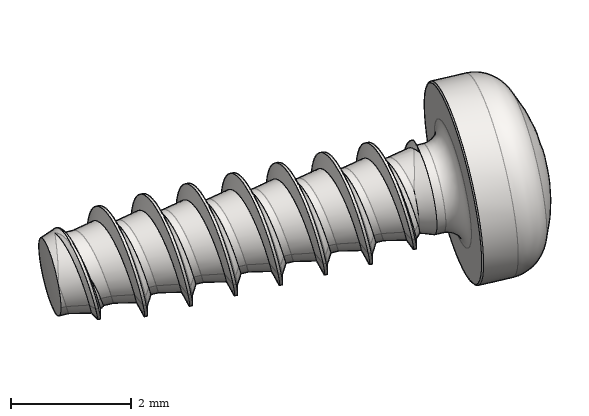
import cadquery as cq
import math

head_height = 1.58
head_diameter = 3.5
shank_length = 7.0
head_radius = head_diameter / 2

rim_top = 0.625
rim_chamfer = 0.025
dome_edge_height = 1.225
dome_edge_radius = 1.39

recess_width = 0.325
recess_depth = 0.11

neck_radius = 0.76
neck_fillet = 0.34
neck_end = -0.5
neck_cone_end = -0.78

core_radius = 0.67
tip_cone_height = 0.02
tip_edge = tip_cone_height - shank_length
tip_taper_length = 0.88

pitch = 0.78
crest_radius = 1.0
first_crest = -1.15
crest_half_width = 0.025
kink_radius = 0.84
sunken_kink_radius = 0.65
kink_offset = 0.064
upper_root_offset = 0.19
shoulder_radius = 0.745
shoulder_offset = 0.1
lower_root_offset = 0.565
root_radius = 0.63
taper_end_radius = 0.65
thread_start_turn = -1.25
thread_full_turn = 0.25
thread_fade_turn = 6.0
thread_fade_end_turn = 7.25
thread_turns = 9
start_crest_radius = 0.805
faded_crest_radius = 0.75
sections_per_turn = 12
limit_clearance = 0.085


def revolve_about_y(outline):
    return outline.close().revolve(360, (0, 0, 0), (0, 1, 0))


def make_head_and_core():
    """Revolve the head, the filleted neck and the plain core as one body."""
    run = head_radius - dome_edge_radius
    rise = dome_edge_height - rim_top
    corner_radius = (run**2 + rise**2) / (2 * run)
    corner_center = head_radius - corner_radius
    half_angle = math.atan2(rise, dome_edge_radius - corner_center) / 2
    corner_mid = (
        corner_center + corner_radius * math.cos(half_angle),
        rim_top + corner_radius * math.sin(half_angle),
    )
    dome_rise = head_height - dome_edge_height
    dome_sphere = (dome_edge_radius**2 + dome_rise**2) / (2 * dome_rise)
    mid_radius = dome_edge_radius / 2
    dome_mid = (mid_radius, head_height - dome_sphere + math.sqrt(dome_sphere**2 - mid_radius**2))

    fillet_reach = neck_fillet * (1 - math.sqrt(0.5))
    outline = (
        cq.Workplane("XY")
        .moveTo(0, -shank_length)
        .lineTo(core_radius, tip_edge)
        .lineTo(core_radius, neck_cone_end)
        .lineTo(neck_radius, neck_end)
        .lineTo(neck_radius, -neck_fillet)
        .threePointArc((neck_radius + fillet_reach, -fillet_reach), (neck_radius + neck_fillet, 0))
        .lineTo(head_radius - rim_chamfer, 0)
        .lineTo(head_radius, rim_chamfer)
        .lineTo(head_radius, rim_top)
        .threePointArc(corner_mid, (dome_edge_radius, dome_edge_height))
        .threePointArc(dome_mid, (0, head_height))
    )
    return revolve_about_y(outline)


def make_cross_recess():
    """Two crossed flat-bottomed slots, open through the dome."""
    height = head_height - recess_depth / 2
    slot_x = cq.Workplane("XY").box(head_diameter, recess_depth, recess_width)
    slot_z = cq.Workplane("XY").box(recess_width, recess_depth, head_diameter)
    return slot_x.union(slot_z).translate((0, height, 0))


def crest_radius_at(turn):
    """Crest radius: growing at the neck, full along the shank, fading at the tip."""
    if turn < thread_full_turn:
        fraction = (turn - thread_start_turn) / (thread_full_turn - thread_start_turn)
        return start_crest_radius + fraction * (crest_radius - start_crest_radius)
    fraction = (turn - thread_fade_turn) / (thread_fade_end_turn - thread_fade_turn)
    fraction = min(max(fraction, 0), 1)
    return crest_radius + fraction * (faded_crest_radius - crest_radius)


def thread_section(turn):
    """Kinked thread fin with the long taper of the core below it, as a closed wire."""
    crest = crest_radius_at(turn)
    kink = max(kink_radius - (crest_radius - crest), sunken_kink_radius)
    profile = [
        (root_radius, upper_root_offset),
        (kink, kink_offset),
        (crest, crest_half_width),
        (crest, -crest_half_width),
        (shoulder_radius, -shoulder_offset),
        (taper_end_radius, -lower_root_offset),
        (root_radius, -lower_root_offset),
    ]
    angle = 2 * math.pi * turn
    crest_y = first_crest - pitch * turn
    points = [
        cq.Vector(-radius * math.sin(angle), crest_y + offset, radius * math.cos(angle))
        for radius, offset in profile
    ]
    return cq.Wire.makePolygon(points, close=True)


def make_thread_turn(first_turn):
    """Loft one full turn of thread."""
    sections = [thread_section(first_turn + i / sections_per_turn) for i in range(sections_per_turn + 1)]
    return cq.Workplane(cq.Solid.makeLoft(sections))


def make_thread_limits():
    """Revolved space that the thread may fill: below the neck, inside the tapered tip."""
    limit_radius = crest_radius + limit_clearance
    taper_top = tip_edge + tip_taper_length
    limits = (
        cq.Workplane("XY")
        .moveTo(0, neck_end)
        .lineTo(limit_radius, neck_end)
        .lineTo(limit_radius, taper_top)
        .lineTo(crest_radius, taper_top)
        .lineTo(core_radius, tip_edge)
        .lineTo(0, tip_edge)
    )
    return revolve_about_y(limits)


result = make_head_and_core().cut(make_cross_recess())
thread_limits = make_thread_limits()
for index in range(thread_turns):
    thread_turn = make_thread_turn(thread_start_turn + index)
    result = result.union(thread_turn.intersect(thread_limits))